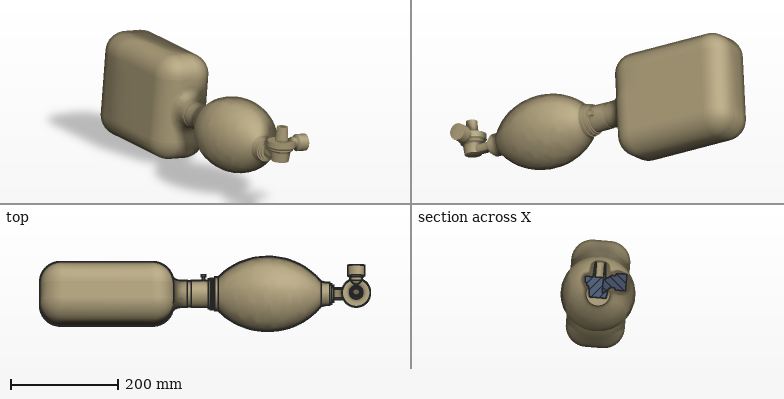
import cadquery as cq

ROLL = -4.8

BAG_LENGTH = 249.5
BAG_DEPTH = 110.0
BAG_HEIGHT = 200.0
BAG_ROUNDING = 39.5
NECK_RADIUS = 25.0
NECK_END = 275.5
NECK_FLARE = 20.5
JOINT_MARGIN = 6.0

INTAKE_START = 283.0
INTAKE_WAIST_RADIUS = 24.0
INTAKE_RADIUS = NECK_RADIUS
FLANGE_START = 314.0
FLANGE_RADIUS = 28.0

NIPPLE_X = 305.0
NIPPLE_TIP = 36.0
NIPPLE_STEM_RADIUS = 2.5
NIPPLE_HEAD_RADIUS = 4.5
NIPPLE_HEAD_THICKNESS = 4.0
NIPPLE_SEAT_DEPTH = 5.0

COLLAR_START = 318.0
COLLAR_END = 326.0
COLLAR_RADIUS = 29.5
RIB_COUNT = 3
GROOVE_DEPTH = 0.5

BULB_RIM_RADIUS = 31.5
BULB_RIM_END = 333.0
BULB_MIDDLE_X = 427.0
BULB_DIAMETER = 140.0
BULB_TAPER_X = 524.5
BULB_TAPER_RADIUS = 23.5
CUFF_START = 532.0
CUFF_RADIUS = 21.5
BULB_END = 540.5

STEP_RADIUS = 19.0
STEP_END = 544.0
OUTLET_COLLAR_RADIUS = 16.0
OUTLET_COLLAR_END = 548.0

VALVE_X = 590.0
TUBE_RADIUS = 11.0
TUBE_HALF_HEIGHT = 7.5
CONE_BOTTOM_RADIUS = 16.0
CONE_TOP_RADIUS = 18.5
CONE_TOP = 11.0
SEAT_RADIUS = 23.0
SEAT_BOTTOM = 15.0
SEAT_TOP = 17.0
DISC_RADIUS = 26.5
DISC_BOTTOM = 21.0
DISC_TOP = 31.5
PORT_TOP = 58.5
PORT_BASE_RADIUS = 12.5
PORT_TOP_RADIUS = 10.5
PORT_BORE_RADIUS = 7.5

EXHAUST_Z = 25.0
EXHAUST_START = 23.0
EXHAUST_NECK_RADIUS = 12.0
EXHAUST_NECK_END = 29.0
EXHAUST_CAP_START = 32.0
EXHAUST_CAP_END = 51.0
EXHAUST_CAP_RADIUS = 16.0
ELBOW_RUN = 15.0
ELBOW_DROP = 11.0


def turned_along_x(outline):
    """Solid of revolution about X from (x, radius) points that begin and end on the axis."""
    return cq.Workplane("XZ").polyline(outline).close().revolve(360, (0, 0), (1, 0))


def rod_along_x(radius, start, end):
    return cq.Workplane("YZ", origin=(start, 0, 0)).circle(radius).extrude(end - start)


def make_bag():
    bag = cq.Workplane("XY").box(BAG_LENGTH, BAG_DEPTH, BAG_HEIGHT, centered=(False, True, True))
    bag = bag.edges().fillet(BAG_ROUNDING)
    bag = bag.union(rod_along_x(NECK_RADIUS, BAG_LENGTH / 2, NECK_END))
    joint_zone = cq.selectors.BoxSelector(
        (BAG_LENGTH - JOINT_MARGIN, -NECK_RADIUS - JOINT_MARGIN, -NECK_RADIUS - JOINT_MARGIN),
        (NECK_END - JOINT_MARGIN, NECK_RADIUS + JOINT_MARGIN, NECK_RADIUS + JOINT_MARGIN),
        boundingbox=True,
    )
    return bag.edges(joint_zone).fillet(NECK_FLARE)


def make_intake():
    intake = turned_along_x([
        (NECK_END, 0),
        (NECK_END, INTAKE_WAIST_RADIUS),
        (INTAKE_START, INTAKE_WAIST_RADIUS),
        (INTAKE_START, INTAKE_RADIUS),
        (FLANGE_START, INTAKE_RADIUS),
        (FLANGE_START, FLANGE_RADIUS),
        (COLLAR_START, FLANGE_RADIUS),
        (COLLAR_START, 0),
    ])
    return intake.cut(make_nipple())


def make_nipple():
    head_start = NIPPLE_TIP - NIPPLE_HEAD_THICKNESS
    stem_start = INTAKE_RADIUS - NIPPLE_SEAT_DEPTH
    base = cq.Workplane("XZ", origin=(NIPPLE_X, stem_start, 0))
    stem = base.circle(NIPPLE_STEM_RADIUS).extrude(stem_start - head_start)
    return stem.faces(">Y").workplane().circle(NIPPLE_HEAD_RADIUS).extrude(NIPPLE_HEAD_THICKNESS)


def make_collar():
    collar = rod_along_x(COLLAR_RADIUS, COLLAR_START, COLLAR_END)
    pitch = (COLLAR_END - COLLAR_START) / (2 * RIB_COUNT - 1)
    for index in range(RIB_COUNT - 1):
        start = COLLAR_START + (2 * index + 1) * pitch
        band = rod_along_x(COLLAR_RADIUS, start, start + pitch)
        core = rod_along_x(COLLAR_RADIUS - GROOVE_DEPTH, start, start + pitch)
        collar = collar.cut(band.cut(core))
    return collar


def make_bulb():
    return (
        cq.Workplane("XZ")
        .moveTo(COLLAR_END, 0)
        .lineTo(COLLAR_END, BULB_RIM_RADIUS)
        .lineTo(BULB_RIM_END, BULB_RIM_RADIUS)
        .threePointArc((BULB_MIDDLE_X, BULB_DIAMETER / 2), (BULB_TAPER_X, BULB_TAPER_RADIUS))
        .lineTo(CUFF_START, CUFF_RADIUS)
        .lineTo(BULB_END, CUFF_RADIUS)
        .lineTo(BULB_END, 0)
        .close()
        .revolve(360, (0, 0), (1, 0))
    )


def make_outlet_collar():
    return turned_along_x([
        (BULB_END, 0),
        (BULB_END, STEP_RADIUS),
        (STEP_END, STEP_RADIUS),
        (STEP_END, OUTLET_COLLAR_RADIUS),
        (OUTLET_COLLAR_END, OUTLET_COLLAR_RADIUS),
        (OUTLET_COLLAR_END, 0),
    ])


def make_valve():
    body = (
        cq.Workplane("XZ", origin=(VALVE_X, 0, 0))
        .polyline([
            (0, -TUBE_HALF_HEIGHT),
            (CONE_BOTTOM_RADIUS, -TUBE_HALF_HEIGHT),
            (CONE_TOP_RADIUS, CONE_TOP),
            (SEAT_RADIUS, SEAT_BOTTOM),
            (SEAT_RADIUS, SEAT_TOP),
            (DISC_RADIUS, DISC_BOTTOM),
            (DISC_RADIUS, DISC_TOP),
            (PORT_BASE_RADIUS, DISC_TOP),
            (PORT_TOP_RADIUS, PORT_TOP),
            (PORT_BORE_RADIUS, PORT_TOP),
            (PORT_BORE_RADIUS, DISC_TOP),
            (0, DISC_TOP),
        ])
        .close()
        .revolve(360, (0, 0), (0, 1))
    )
    tube = rod_along_x(TUBE_RADIUS, OUTLET_COLLAR_END, VALVE_X)
    between_flats = cq.Workplane("XY").box(2 * VALVE_X, 2 * TUBE_RADIUS, 2 * TUBE_HALF_HEIGHT)
    return body.union(tube.intersect(between_flats)).cut(make_exhaust())


def make_exhaust():
    outline = [
        (EXHAUST_START, 0),
        (EXHAUST_START, EXHAUST_NECK_RADIUS),
        (EXHAUST_NECK_END, EXHAUST_NECK_RADIUS),
        (EXHAUST_CAP_START, EXHAUST_CAP_RADIUS),
        (EXHAUST_CAP_END, EXHAUST_CAP_RADIUS),
        (EXHAUST_CAP_END, 0),
    ]
    outlet = turned_along_x(outline).rotate((0, 0, 0), (0, 0, 1), 90)
    outlet = outlet.translate((VALVE_X, 0, EXHAUST_Z))
    mouth = cq.Wire.makeCircle(
        EXHAUST_NECK_RADIUS,
        cq.Vector(VALVE_X, EXHAUST_START, EXHAUST_Z),
        cq.Vector(0, 1, 0),
    )
    elbow = cq.Solid.extrudeLinear(mouth, [], cq.Vector(0, -ELBOW_RUN, -ELBOW_DROP))
    return outlet.union(cq.Workplane(elbow))


bodies = [
    make_bag(),
    make_intake(),
    make_nipple(),
    make_collar(),
    make_bulb(),
    make_outlet_collar(),
    make_valve(),
    make_exhaust(),
]
assembly = cq.Compound.makeCompound([body.val() for body in bodies])
result = assembly.rotate(cq.Vector(0, 0, 0), cq.Vector(1, 0, 0), ROLL)